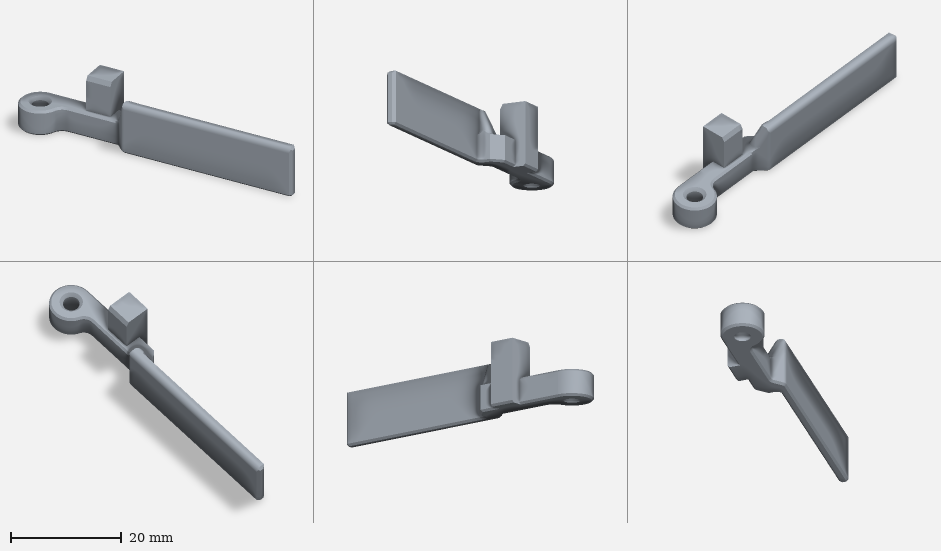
import cadquery as cq
import math

EYE_RADIUS = 4.0
PIVOT_DIAMETER = 3.0
PIVOT_BEVEL = 0.6
ARM_WIDTH = 4.0
ARM_HEIGHT = 5.0
ARM_END_X = 20.0
ARM_CORNER_CUT = 2.0
NECK_RADIUS = 2.0
EDGE_BEVEL = 0.4

POST_X = 9.0
POST_WIDTH = 5.0
POST_FRONT_Y = 0.9
POST_BACK_Y = 6.0
POST_HEIGHT = 12.0
POST_BEVEL_DEPTH = 0.5
POST_BEVEL_HEIGHT = POST_BEVEL_DEPTH * math.tan(math.radians(60))

BLADE_END_X = 53.0
BLADE_HEIGHT = 10.0
BLADE_THICKNESS = 1.8
BLADE_END_BEVEL = 0.5
JOG_X = 16.0
JOG_STEP = 2.0
ROUNDING = 1.0
BLADE_X = JOG_X + JOG_STEP
BLADE_FRONT_Y = -JOG_STEP
BLADE_BACK_Y = BLADE_FRONT_Y + BLADE_THICKNESS

RAMP_FOOT_Y = 2.0
RAMP_SLOPE = math.tan(math.radians(70))
BACK_RAMP_BASE_Y = RAMP_FOOT_Y + ARM_HEIGHT / RAMP_SLOPE
BACK_RAMP_TOP_Y = BACK_RAMP_BASE_Y - BLADE_HEIGHT / RAMP_SLOPE
SIDE_RAMP_BASE_X = BLADE_X - BLADE_HEIGHT / RAMP_SLOPE

NECK_X = math.sqrt((EYE_RADIUS + NECK_RADIUS) ** 2 - NECK_RADIUS ** 2)
NECK_SHARE = EYE_RADIUS / (EYE_RADIUS + NECK_RADIUS)
NECK_START = (NECK_X * NECK_SHARE, -NECK_RADIUS * NECK_SHARE)

FRONT_BEVEL_END_X = JOG_X - ROUNDING * math.tan(math.radians(22.5))

PICK_TOLERANCE = 0.1


def nearest_edges(body, points):
    """Edges of the body lying closest to the given points."""
    selector = cq.selectors.NearestToPointSelector(points[0])
    for point in points[1:]:
        selector = selector + cq.selectors.NearestToPointSelector(point)
    return body.edges(selector)


def box_between(low, high):
    """Axis-aligned box spanning two opposite corners."""
    size = [b - a for a, b in zip(low, high)]
    return cq.Workplane("XY").box(*size, centered=False).translate(low)


def footprint(height):
    """Prism over the plan outline of the eye, arm, jog and blade."""
    prism = (
        cq.Workplane("XY")
        .moveTo(0, ARM_WIDTH)
        .threePointArc((-EYE_RADIUS, 0), NECK_START)
        .radiusArc((NECK_X, 0), NECK_RADIUS)
        .lineTo(JOG_X, 0)
        .lineTo(BLADE_X, BLADE_FRONT_Y)
        .lineTo(BLADE_END_X, BLADE_FRONT_Y)
        .lineTo(BLADE_END_X, BLADE_BACK_Y)
        .lineTo(ARM_END_X, BLADE_BACK_Y)
        .lineTo(ARM_END_X, ARM_WIDTH - ARM_CORNER_CUT)
        .lineTo(ARM_END_X - ARM_CORNER_CUT, ARM_WIDTH)
        .close()
        .extrude(height)
    )
    rounded_corners = [
        (JOG_X, 0, height / 2),
        (BLADE_X, BLADE_FRONT_Y, height / 2),
        (ARM_END_X, BLADE_BACK_Y, height / 2),
    ]
    return nearest_edges(prism, rounded_corners).fillet(ROUNDING)


def back_ramp_prism(front_y, length):
    """Prism along X with an upright front and the back ramp behind."""
    return (
        cq.Workplane("YZ")
        .moveTo(front_y, 0)
        .lineTo(BACK_RAMP_BASE_Y, 0)
        .lineTo(BACK_RAMP_TOP_Y, BLADE_HEIGHT)
        .lineTo(front_y, BLADE_HEIGHT)
        .close()
        .extrude(length)
    )


def long_ridge():
    """Ridge along X whose front and ramped back are rounded into a flat top."""
    ridge = back_ramp_prism(BLADE_FRONT_Y, BLADE_END_X)
    return ridge.edges("|X and >Z").fillet(ROUNDING)


def ramp_wedge():
    """Wedge between the jog face, both ramps and the arm's end plane, with rounded rising edges."""
    front_y = JOG_X - ARM_END_X
    jog_side = (
        cq.Workplane("XY")
        .moveTo(ARM_END_X, front_y)
        .lineTo(ARM_END_X, ARM_WIDTH)
        .lineTo(JOG_X - ARM_WIDTH, ARM_WIDTH)
        .close()
        .extrude(BLADE_HEIGHT)
    )
    side_ramp = (
        cq.Workplane("XZ", origin=(0, ARM_WIDTH, 0))
        .moveTo(SIDE_RAMP_BASE_X, 0)
        .lineTo(ARM_END_X, 0)
        .lineTo(ARM_END_X, BLADE_HEIGHT)
        .lineTo(BLADE_X, BLADE_HEIGHT)
        .close()
        .extrude(ARM_WIDTH - front_y)
    )
    wedge = jog_side.intersect(side_ramp).intersect(back_ramp_prism(front_y, ARM_END_X))
    mid_x = (SIDE_RAMP_BASE_X + BLADE_X) / 2
    mid_y = (BACK_RAMP_BASE_Y + BACK_RAMP_TOP_Y) / 2
    mid_z = BLADE_HEIGHT / 2
    rising_edges = [
        (mid_x, JOG_X - mid_x, mid_z),
        (mid_x, mid_y, mid_z),
        (ARM_END_X, mid_y, mid_z),
    ]
    return nearest_edges(wedge, rising_edges).fillet(ROUNDING)


def arm_with_ramp():
    """Eye and arm with the ramp rising through a rounded root, trimmed to the plan outline."""
    reach = EYE_RADIUS + 2 * ROUNDING
    plate = box_between((-reach, -reach, 0), (ARM_END_X + reach, reach, ARM_HEIGHT))
    body = plate.union(long_ridge().intersect(ramp_wedge()))
    root_zone = cq.selectors.BoxSelector(
        (JOG_X - ARM_WIDTH, BLADE_FRONT_Y - PICK_TOLERANCE, ARM_HEIGHT - PICK_TOLERANCE),
        (ARM_END_X + PICK_TOLERANCE, ARM_WIDTH, ARM_HEIGHT + PICK_TOLERANCE),
    )
    return body.edges(root_zone).fillet(ROUNDING).intersect(footprint(BLADE_HEIGHT))


def upper_bevel_waste():
    """Sliver cut from the upper rim: around the eye, behind it to the post, and along the arm's front."""
    slab = footprint(ARM_HEIGHT)
    rim = slab.cut(slab.faces(">Z").edges().chamfer(EDGE_BEVEL))
    rim_bottom = ARM_HEIGHT - EDGE_BEVEL
    eye_to_post = box_between((-EYE_RADIUS, -EYE_RADIUS, rim_bottom), (POST_X, ARM_WIDTH, ARM_HEIGHT))
    arm_front = box_between((0, 0, rim_bottom), (FRONT_BEVEL_END_X, POST_FRONT_Y, ARM_HEIGHT))
    return rim.intersect(eye_to_post.union(arm_front))


def blade():
    """Thin upright blade with a bevelled free end, starting inside the end of the arm."""
    envelope = box_between(
        (ARM_END_X - ROUNDING, BLADE_FRONT_Y, 0),
        (BLADE_END_X, BLADE_BACK_Y, BLADE_HEIGHT),
    )
    envelope = envelope.faces(">X").edges("|Z or >Z").chamfer(BLADE_END_BEVEL)
    return long_ridge().intersect(envelope)


def post():
    """Square post, bevelled along its upper front and lower back edges."""
    return (
        cq.Workplane("YZ", origin=(POST_X, 0, 0))
        .moveTo(POST_FRONT_Y, 0)
        .lineTo(POST_BACK_Y - EDGE_BEVEL, 0)
        .lineTo(POST_BACK_Y, EDGE_BEVEL)
        .lineTo(POST_BACK_Y, POST_HEIGHT)
        .lineTo(POST_FRONT_Y + POST_BEVEL_DEPTH, POST_HEIGHT)
        .lineTo(POST_FRONT_Y, POST_HEIGHT - POST_BEVEL_HEIGHT)
        .close()
        .extrude(POST_WIDTH)
    )


def pivot_hole():
    """Through hole in the eye with a bevelled upper mouth."""
    radius = PIVOT_DIAMETER / 2
    return (
        cq.Workplane("XZ")
        .lineTo(radius, 0)
        .lineTo(radius, ARM_HEIGHT - PIVOT_BEVEL)
        .lineTo(radius + PIVOT_BEVEL, ARM_HEIGHT)
        .lineTo(0, ARM_HEIGHT)
        .close()
        .revolve(360, (0, 0, 0), (0, 1, 0))
    )


lever = arm_with_ramp().cut(upper_bevel_waste()).union(blade())
lever = lever.faces("<Z").edges().chamfer(EDGE_BEVEL)
result = lever.union(post()).cut(pivot_hole())